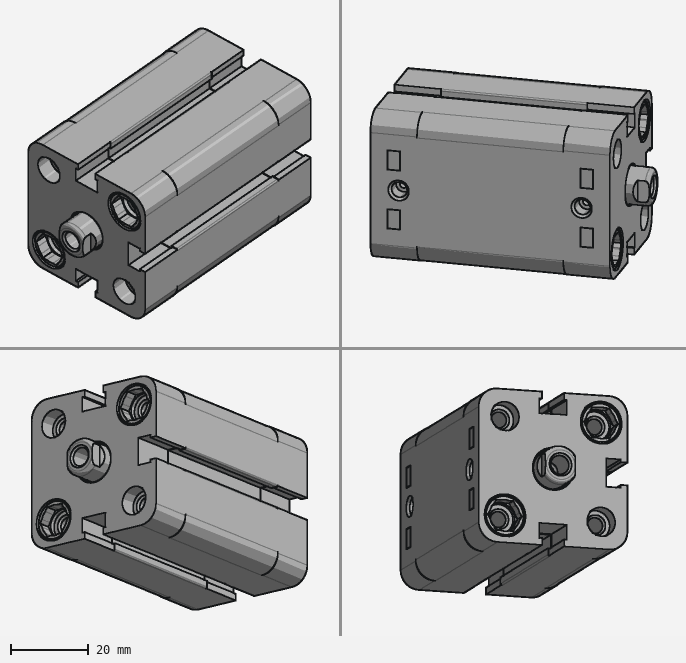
import cadquery as cq
import math


WIDTH = 40.3
TOTAL_LENGTH = 70.0
ROD_PROJECTION = 6.0
CAP_LENGTH = 12.45
CAP_CORNER_RADIUS = 5.0
TUBE_CORNER_RADIUS = 5.25

HALF_WIDTH = WIDTH / 2
BODY_LENGTH = TOTAL_LENGTH - ROD_PROJECTION
TUBE_LENGTH = BODY_LENGTH - 2 * CAP_LENGTH
FRONT_Y = -BODY_LENGTH
FRONT_CAP_START = -CAP_LENGTH - TUBE_LENGTH

TUBE_SLOT_MOUTH = 5.5
TUBE_SLOT_WIDTH = 7.0
TUBE_SLOT_LIP = 2.0
TUBE_SLOT_DEPTH = 5.5
SLOT_CLEARANCE = 0.2
SLOT_EDGE_RADIUS = 0.4
SLOT_ANGLES = (0, 90, 180)

HOLE_OFFSET = 13.0
HOLE_DIAMETER = 4.1
HOLE_MOUTH_DIAMETER = 5.3
COUNTERBORE_DIAMETER = 7.55
COUNTERBORE_DEPTH = 4.55
COUNTERBORED_CORNERS = ((-1, 1), (1, -1))
SCREW_CORNERS = ((1, 1), (-1, -1))

SCREW_HEAD_RECESS = 0.3
SCREW_SEAT_DIAMETER = 11.1
SCREW_HEAD_DIAMETER = 10.8
SCREW_HEAD_CHAMFER = 0.35
SCREW_GAP_DEPTH = 1.4
SOCKET_ACROSS_FLATS = 8.0
SOCKET_ROUND_DIAMETER = 8.25
SOCKET_DEPTH = 3.5
SCREW_BORE_DIAMETER = 7.7
SCREW_BORE_DEPTH = 4.9

HEAD_Y = FRONT_Y + SCREW_HEAD_RECESS

ROD_DIAMETER = 10.0
ROD_TIP_RADIUS = 1.1
ROD_FLATS = 8.1
ROD_FLAT_LENGTH = 3.15
ROD_SEAT_DIAMETER = 10.5
ROD_SEAT_MOUTH_DIAMETER = 11.1
ROD_SEAT_DEPTH = 1.4
ROD_BORE_DIAMETER = 4.9
ROD_BORE_MOUTH_DIAMETER = 6.0
ROD_BORE_FLOOR_DIAMETER = 3.4
ROD_BORE_DEPTH = 9.8

PORT_INSET = 7.55
PORT_MOUTH_DIAMETER = 5.5
PORT_DIAMETER = 4.1
PORT_DEPTH = 4.9
PORT_DUCT_DIAMETER = 2.0
PORT_DUCT_DEPTH = 7.7

LABEL_INSET = 6.2
LABEL_OFFSET = 8.05
LABEL_LENGTH = 3.3
LABEL_HEIGHT = 5.25
LABEL_DEPTH = 0.2


def cone_depth(wide_diameter, narrow_diameter):
    """Depth of a 45 degree cone between two diameters."""
    return (wide_diameter - narrow_diameter) / 2


def cylinder(start, direction, diameter, length):
    """Cylinder running from a point along a direction."""
    return cq.Workplane(cq.Solid.makeCylinder(diameter / 2, length, cq.Vector(*start), cq.Vector(*direction)))


def cone(start, direction, start_diameter, end_diameter):
    """45 degree cone running from a point along a direction."""
    length = cone_depth(start_diameter, end_diameter)
    return cq.Workplane(
        cq.Solid.makeCone(start_diameter / 2, end_diameter / 2, length, cq.Vector(*start), cq.Vector(*direction))
    )


def drill(start_x, start_y, start_z, diameter, depth):
    """Cylinder running inward (+Y) from a point."""
    return cylinder((start_x, start_y, start_z), (0, 1, 0), diameter, depth)


def profile_plane(y):
    """XZ sketch plane at the given Y, extruding towards the rod end."""
    return cq.Workplane("XZ", origin=(0, y, 0))


def slot_cutter(y, length, mouth, width, lip, depth):
    """T-slot open to the top side."""
    floor = HALF_WIDTH - depth
    shoulder = HALF_WIDTH - lip
    return (
        profile_plane(y)
        .moveTo(-width / 2, floor)
        .lineTo(width / 2, floor)
        .lineTo(width / 2, shoulder)
        .lineTo(mouth / 2, shoulder)
        .lineTo(mouth / 2, HALF_WIDTH)
        .lineTo(-mouth / 2, HALF_WIDTH)
        .lineTo(-mouth / 2, shoulder)
        .lineTo(-width / 2, shoulder)
        .close()
        .extrude(length)
    )


def body_section(y, length, corner_radius, slot_sizes, edge_radius=0):
    """Rounded square block with T-slots, their mouth edges optionally rounded."""
    section = profile_plane(y).rect(WIDTH, WIDTH).extrude(length).edges("|Y").fillet(corner_radius)
    slot = slot_cutter(y, length, *slot_sizes)
    for angle in SLOT_ANGLES:
        section = section.cut(slot.rotate((0, 0, 0), (0, 1, 0), angle))
    if edge_radius:
        mouth = slot_sizes[0]
        middle_y = y - length / 2
        for side in (-1, 1):
            for x, z in (
                (side * mouth / 2, HALF_WIDTH),
                (side * mouth / 2, -HALF_WIDTH),
                (HALF_WIDTH, side * mouth / 2),
            ):
                edge = cq.selectors.NearestToPointSelector((x, middle_y, z))
                section = section.edges("|Y").edges(edge).fillet(edge_radius)
    return section


def body():
    tube_slot = (TUBE_SLOT_MOUTH, TUBE_SLOT_WIDTH, TUBE_SLOT_LIP, TUBE_SLOT_DEPTH)
    cap_slot = (
        TUBE_SLOT_MOUTH + 2 * SLOT_CLEARANCE,
        TUBE_SLOT_WIDTH + 2 * SLOT_CLEARANCE,
        TUBE_SLOT_LIP - SLOT_CLEARANCE,
        TUBE_SLOT_DEPTH + SLOT_CLEARANCE,
    )
    rear_cap = body_section(0, CAP_LENGTH, CAP_CORNER_RADIUS, cap_slot)
    tube = body_section(-CAP_LENGTH, TUBE_LENGTH, TUBE_CORNER_RADIUS, tube_slot, SLOT_EDGE_RADIUS)
    front_cap = body_section(FRONT_CAP_START, CAP_LENGTH, CAP_CORNER_RADIUS, cap_slot)
    return rear_cap.union(tube).union(front_cap)


def through_hole(x, z, mouth_depth):
    """Hole through the body with a conical mouth at the given depth below the front face."""
    mouth_y = FRONT_Y + mouth_depth
    mouth = cone((x, mouth_y, z), (0, 1, 0), HOLE_MOUTH_DIAMETER, HOLE_DIAMETER)
    return drill(x, FRONT_Y, z, HOLE_DIAMETER, BODY_LENGTH).union(mouth)


def counterbored_hole(x, z):
    counterbore = drill(x, FRONT_Y, z, COUNTERBORE_DIAMETER, COUNTERBORE_DEPTH)
    return through_hole(x, z, COUNTERBORE_DEPTH).union(counterbore)


def screw_gap(x, z):
    """Ring gap around a chamfered screw head."""
    head_height = SCREW_GAP_DEPTH - SCREW_HEAD_RECESS
    head = drill(x, HEAD_Y, z, SCREW_HEAD_DIAMETER, head_height).faces("<Y").chamfer(SCREW_HEAD_CHAMFER)
    return drill(x, FRONT_Y, z, SCREW_SEAT_DIAMETER, SCREW_GAP_DEPTH).cut(head)


def screw_hole(x, z):
    """Hexagon socket with a round relief, a deeper bore and the through hole."""
    across_corners = SOCKET_ACROSS_FLATS / math.cos(math.pi / 6)
    hexagon = profile_plane(HEAD_Y).center(x, z).polygon(6, across_corners).extrude(-SOCKET_DEPTH)
    relief = drill(x, HEAD_Y, z, SOCKET_ROUND_DIAMETER, SOCKET_DEPTH)
    bore = drill(x, HEAD_Y, z, SCREW_BORE_DIAMETER, SCREW_BORE_DEPTH)
    return through_hole(x, z, SCREW_HEAD_RECESS + SCREW_BORE_DEPTH).union(hexagon).union(relief).union(bore)


def rod_seat():
    """Chamfered recess around the rod."""
    mouth = cone((0, FRONT_Y, 0), (0, 1, 0), ROD_SEAT_MOUTH_DIAMETER, ROD_SEAT_DIAMETER)
    return drill(0, FRONT_Y, 0, ROD_SEAT_DIAMETER, ROD_SEAT_DEPTH).union(mouth)


def rod_flat_cutter():
    """Removes the +X side of the rod tip, with a 45 degree run-out."""
    flat_x = ROD_FLATS / 2
    outer_x = ROD_DIAMETER
    run_out = outer_x - flat_x
    flat_end = -TOTAL_LENGTH + ROD_FLAT_LENGTH
    return (
        cq.Workplane("XY")
        .moveTo(flat_x, -TOTAL_LENGTH)
        .lineTo(outer_x, -TOTAL_LENGTH)
        .lineTo(outer_x, flat_end + run_out)
        .lineTo(flat_x, flat_end)
        .close()
        .extrude(ROD_DIAMETER, both=True)
    )


def rod():
    blank = drill(0, -TOTAL_LENGTH, 0, ROD_DIAMETER, ROD_PROJECTION + ROD_SEAT_DEPTH)
    blank = blank.faces("<Y").edges().fillet(ROD_TIP_RADIUS)
    flat = rod_flat_cutter()
    return blank.cut(flat).cut(flat.mirror("YZ"))


def rod_bore():
    """Blind bore with a chamfered mouth and a tapered floor."""
    mouth = cone((0, -TOTAL_LENGTH, 0), (0, 1, 0), ROD_BORE_MOUTH_DIAMETER, ROD_BORE_DIAMETER)
    bore = drill(0, -TOTAL_LENGTH, 0, ROD_BORE_DIAMETER, ROD_BORE_DEPTH)
    floor_y = -TOTAL_LENGTH + ROD_BORE_DEPTH
    taper = cone((0, floor_y, 0), (0, 1, 0), ROD_BORE_DIAMETER, ROD_BORE_FLOOR_DIAMETER)
    return bore.union(mouth).union(taper)


def port(y):
    """Chamfered air port narrowing to a duct."""
    start = (-HALF_WIDTH, y, 0)
    inward = (1, 0, 0)
    mouth = cone(start, inward, PORT_MOUTH_DIAMETER, PORT_DIAMETER)
    bore = cylinder(start, inward, PORT_DIAMETER, PORT_DEPTH)
    duct = cylinder(start, inward, PORT_DUCT_DIAMETER, PORT_DUCT_DEPTH)
    return bore.union(mouth).union(duct)


def label_panel(y, z):
    panel = cq.Workplane("XY").box(LABEL_DEPTH, LABEL_LENGTH, LABEL_HEIGHT)
    return panel.translate((-HALF_WIDTH + LABEL_DEPTH / 2, y, z))


result = body().cut(rod_seat()).union(rod()).cut(rod_bore())

for side_x, side_z in COUNTERBORED_CORNERS:
    result = result.cut(counterbored_hole(side_x * HOLE_OFFSET, side_z * HOLE_OFFSET))

for side_x, side_z in SCREW_CORNERS:
    result = result.cut(screw_gap(side_x * HOLE_OFFSET, side_z * HOLE_OFFSET))
    result = result.cut(screw_hole(side_x * HOLE_OFFSET, side_z * HOLE_OFFSET))

for port_y in (-PORT_INSET, FRONT_Y + PORT_INSET):
    result = result.cut(port(port_y))

for label_y in (-LABEL_INSET, FRONT_Y + LABEL_INSET):
    for label_z in (-LABEL_OFFSET, LABEL_OFFSET):
        result = result.cut(label_panel(label_y, label_z))